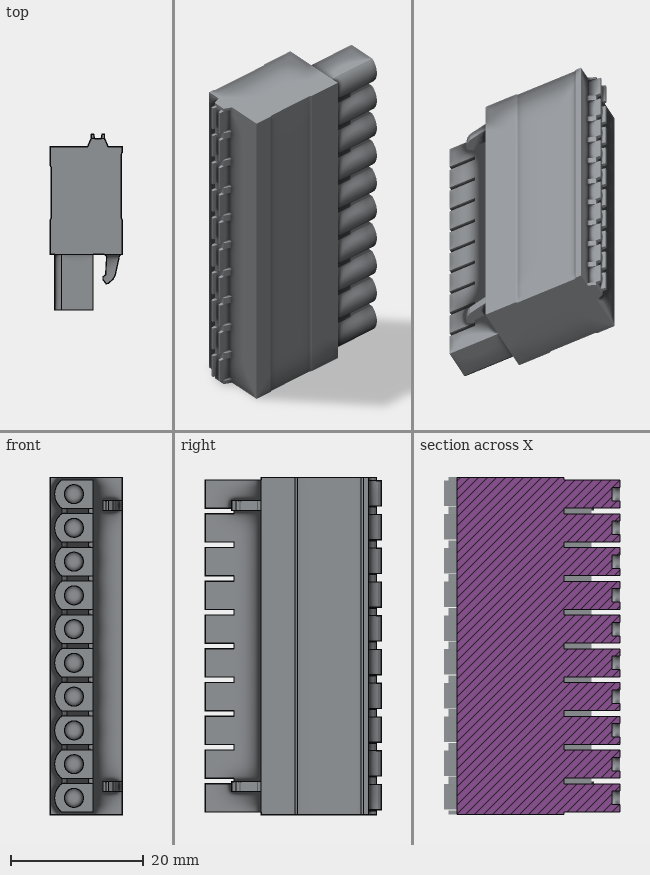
import cadquery as cq
import math


pole_count = 10
pitch = 5.08
row_height = pole_count * pitch
pole_heights = [(i + 0.5) * pitch for i in range(pole_count)]

body_width = 10.9
body_depth = 16.2
relief_depth = 0.17
relief_ramp = 0.35
relief_front = 5.13
left_relief_back = 13.4
right_relief_back = 15.4

nose_length = 8.4
nose_left = 0.7
nose_right = 6.5
nose_height = 4.3
nose_offset = 0.02
nose_crown = 1.05
nose_shoulder = nose_left + nose_crown
hole_diameter = 2.85
hole_depth = 1.2
hole_x = 3.6

web_length = 4.1
web_thickness = 0.7
web_left = 1.83

hook_height = 1.5
hook_inset = 3.5
hook_root_radius = 0.5
hook_root_left = 8.5
hook_root_right = body_width - hook_root_radius
hook_tip_outline = [
    (8.35, -3.05),
    (7.95, -3.4),
    (7.95, -3.8),
    (8.45, -4.45),
    (8.8, -4.35),
    (9.48, -3.75),
    (9.8, -3.2),
]

ridge_center = 7.2
ridge_base_width = 3.1
ridge_top_width = 2.05
ridge_rise = 1.2
ridge_chamfer_width = 0.13
ridge_chamfer_rise = 0.25
prong_height = 3.85
prong_offset = 0.14
prong_rise = 1.9
prong_tip_width = 0.4
prong_root_width = 0.55
prong_tip_relief = 0.03
prong_tip_length = 0.35
notch_clearance = 0.12


def extrude_up(profile, bottom, height):
    """Extrude a closed XY profile upward from the given Z level."""
    return profile.extrude(height).translate((0, 0, bottom))


def make_body():
    ramp_start = relief_front
    ramp_end = relief_front + relief_ramp
    inner_right = body_width - relief_depth
    profile = (
        cq.Workplane("XY")
        .moveTo(0, 0)
        .lineTo(body_width, 0)
        .lineTo(body_width, ramp_start)
        .lineTo(inner_right, ramp_end)
        .lineTo(inner_right, right_relief_back - relief_ramp)
        .lineTo(body_width, right_relief_back)
        .lineTo(body_width, body_depth)
        .lineTo(0, body_depth)
        .lineTo(0, left_relief_back)
        .lineTo(relief_depth, left_relief_back - relief_ramp)
        .lineTo(relief_depth, ramp_end)
        .lineTo(0, ramp_start)
        .close()
    )
    return extrude_up(profile, 0, row_height)


def make_nose(z):
    half = nose_height / 2
    return (
        cq.Workplane("XZ")
        .moveTo(nose_right, z - half)
        .lineTo(nose_right, z + half)
        .lineTo(nose_shoulder, z + half)
        .threePointArc((nose_left, z), (nose_shoulder, z - half))
        .close()
        .extrude(nose_length)
    )


def make_hole(z):
    hole = cq.Workplane("XZ").center(hole_x, z).circle(hole_diameter / 2).extrude(hole_depth)
    return hole.translate((0, hole_depth - nose_length, 0))


def make_web(left):
    bottom = pole_heights[0]
    height = pole_heights[-1] - bottom
    profile = cq.Workplane("XY").rect(web_thickness, web_length)
    return extrude_up(profile, bottom, height).translate((left + web_thickness / 2, -web_length / 2, 0))


def make_hook(bottom):
    r = hook_root_radius
    s = r * math.sqrt(0.5)
    profile = (
        cq.Workplane("XY")
        .moveTo(hook_root_left - r, 0)
        .threePointArc((hook_root_left - r + s, -r + s), (hook_root_left, -r))
    )
    for x, y in hook_tip_outline:
        profile = profile.lineTo(x, y)
    profile = (
        profile
        .lineTo(hook_root_right, -r)
        .threePointArc((hook_root_right + r - s, -r + s), (hook_root_right + r, 0))
        .close()
    )
    return extrude_up(profile, bottom, hook_height)


def make_ridge():
    half_base = ridge_base_width / 2
    half_top = ridge_top_width / 2
    half_shoulder = half_top + ridge_chamfer_width
    top_y = body_depth + ridge_rise
    shoulder_y = top_y - ridge_chamfer_rise
    profile = cq.Workplane("XY").polyline([
        (ridge_center - half_base, body_depth),
        (ridge_center + half_base, body_depth),
        (ridge_center + half_shoulder, shoulder_y),
        (ridge_center + half_top, top_y),
        (ridge_center - half_top, top_y),
        (ridge_center - half_shoulder, shoulder_y),
    ]).close()
    return extrude_up(profile, 0, row_height)


def make_ridge_notch(z):
    top = z + prong_offset + prong_height / 2
    height = prong_height + notch_clearance
    return (
        cq.Workplane("XY")
        .box(ridge_base_width, ridge_rise, height)
        .translate((ridge_center, body_depth + ridge_rise / 2, top - height / 2))
    )


def make_prongs(z):
    """Block filling a ridge notch, with two tapered prongs on top."""
    half = ridge_top_width / 2
    root_y = body_depth + ridge_rise
    tip_y = body_depth + prong_rise
    right_half = [
        (half, body_depth),
        (half, tip_y - prong_tip_length),
        (half - prong_tip_relief, tip_y),
        (half - prong_tip_width, tip_y),
        (half - prong_root_width, root_y),
    ]
    outline = [(ridge_center + x, y) for x, y in right_half]
    outline += [(ridge_center - x, y) for x, y in reversed(right_half)]
    profile = cq.Workplane("XY").polyline(outline).close()
    return extrude_up(profile, z + prong_offset - prong_height / 2, prong_height)


result = make_body().union(make_ridge())

for z in pole_heights:
    result = result.cut(make_ridge_notch(z)).union(make_prongs(z)).union(make_nose(z + nose_offset))

for left in (web_left, nose_right - web_thickness):
    result = result.union(make_web(left))

for bottom in (hook_inset, row_height - hook_inset - hook_height):
    result = result.union(make_hook(bottom))

for z in pole_heights:
    result = result.cut(make_hole(z + nose_offset))